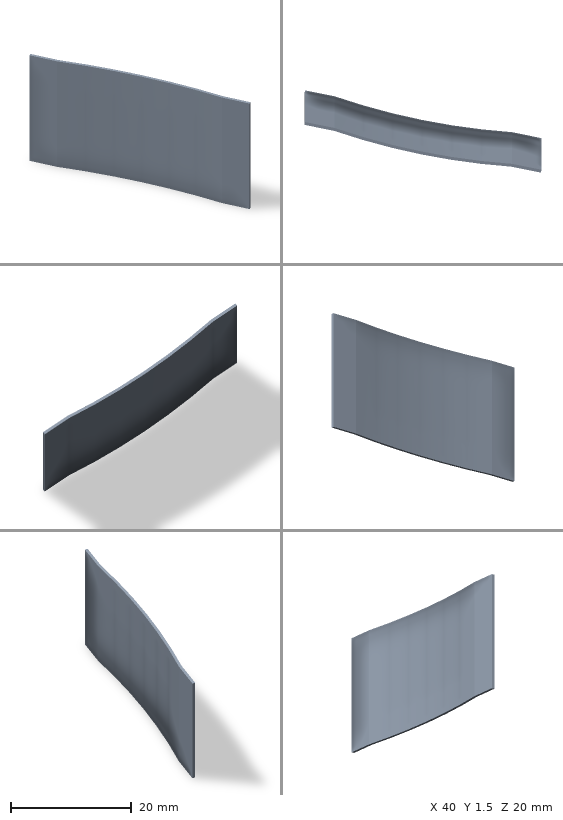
import cadquery as cq

length = 40.0
height = 20.0

tab_length = 5.0
arch_rise = 1.0
thickness = arch_rise / 2

half_length = length / 2
arch_half_span = half_length - tab_length

profile = (
    cq.Workplane("XY")
    .moveTo(-half_length, 0)
    .lineTo(-arch_half_span, 0)
    .threePointArc((0, arch_rise), (arch_half_span, 0))
    .lineTo(half_length, 0)
    .lineTo(half_length, thickness)
    .lineTo(arch_half_span, thickness)
    .threePointArc((0, arch_rise + thickness), (-arch_half_span, thickness))
    .lineTo(-half_length, thickness)
    .close()
)

result = profile.extrude(height)